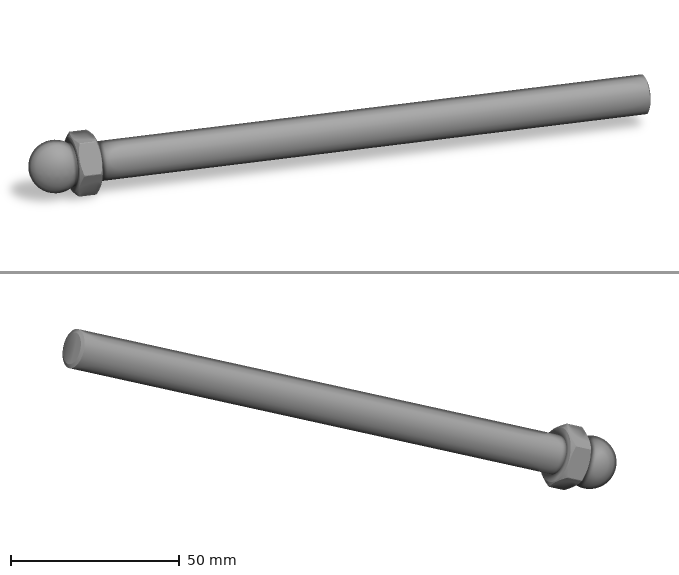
import cadquery as cq
import math

total_length = 192.0
ball_diameter = 16.0
neck_diameter = 13.0
shaft_diameter = 12.0
shaft_chamfer_length = 0.5
shaft_chamfer_depth = 1.2

hex_across_flats = 17.0
hex_corner_diameter = 19.5
hex_start = 13.0
hex_thickness = 7.1
hex_face_diameter = 16.5
hex_chamfer_angle = 30.0

ball_radius = ball_diameter / 2
neck_radius = neck_diameter / 2
shaft_radius = shaft_diameter / 2
hex_end = hex_start + hex_thickness
hex_middle = hex_start + hex_thickness / 2


def cylinder(radius, start, end):
    """Cylinder around the Y axis between two positions."""
    return cq.Workplane("XZ", origin=(0, start, 0)).circle(radius).extrude(start - end)


def revolve_profile(points):
    """Revolve a closed (radius, position) outline around the Y axis."""
    return cq.Workplane("XY").polyline(points).close().revolve(360, (0, 0, 0), (0, 1, 0))


def make_ball():
    """Ball touching the start of the part, joined to the hexagon by a short neck."""
    ball = cq.Workplane("XZ").sphere(ball_radius).translate((0, ball_radius, 0))
    return ball.union(cylinder(neck_radius, ball_radius, hex_middle))


def make_hexagon():
    """Hexagon with its corners turned off conically on both faces."""
    face_radius = hex_face_diameter / 2
    corner_radius = hex_corner_diameter / 2
    drop = (corner_radius - face_radius) * math.tan(math.radians(hex_chamfer_angle))
    prism = (
        cq.Workplane("XZ", origin=(0, hex_start, 0))
        .polygon(6, hex_across_flats / math.cos(math.pi / 6))
        .extrude(-hex_thickness)
    )
    turned_blank = revolve_profile([
        (0, hex_start),
        (face_radius, hex_start),
        (corner_radius, hex_start + drop),
        (corner_radius, hex_end - drop),
        (face_radius, hex_end),
        (0, hex_end),
    ])
    return prism.intersect(turned_blank)


def make_shaft():
    """Plain shaft from inside the hexagon to the chamfered far end."""
    return revolve_profile([
        (0, hex_middle),
        (shaft_radius, hex_middle),
        (shaft_radius, total_length - shaft_chamfer_length),
        (shaft_radius - shaft_chamfer_depth, total_length),
        (0, total_length),
    ])


result = make_ball().union(make_hexagon()).union(make_shaft())